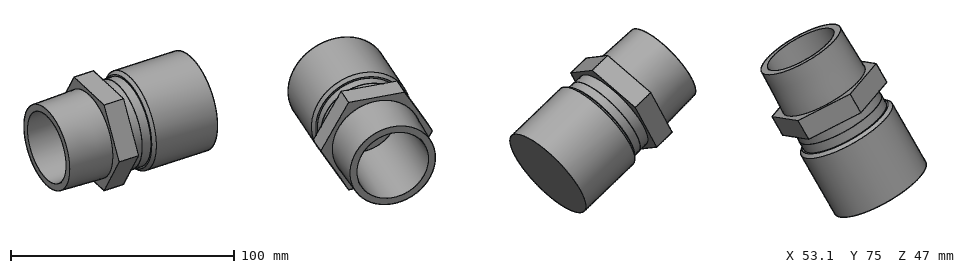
import cadquery as cq

total_length = 75.0
spigot_length = 22.0
hex_length = 10.1
collar_length = 5.0
neck_length = 4.5
socket_chamfer = 1.5

spigot_tip_diameter = 40.6
spigot_root_diameter = 42.0
hex_across_corners = 53.1
collar_diameter = 42.2
neck_diameter = 42.45
socket_diameter = 47.0
bore_diameter = 34.0

spigot_tip = -total_length / 2
hex_start = spigot_tip + spigot_length
hex_end = hex_start + hex_length
collar_end = hex_end + collar_length
neck_end = collar_end + neck_length
socket_end = total_length / 2

bore_depth = neck_end - spigot_tip


def plane_at(y):
    """Plane at station y, facing +Y, with its local x along +X."""
    return cq.Workplane(cq.Plane(origin=(0, y, 0), xDir=(1, 0, 0), normal=(0, 1, 0)))


def make_turned_body():
    """Tapered spigot, collar, neck and chamfered socket as one revolved solid."""
    socket_radius = socket_diameter / 2
    return (
        cq.Workplane("XY")
        .moveTo(0, spigot_tip)
        .lineTo(spigot_tip_diameter / 2, spigot_tip)
        .lineTo(spigot_root_diameter / 2, hex_start)
        .lineTo(collar_diameter / 2, hex_start)
        .lineTo(collar_diameter / 2, collar_end)
        .lineTo(neck_diameter / 2, collar_end)
        .lineTo(neck_diameter / 2, neck_end)
        .lineTo(socket_radius - socket_chamfer, neck_end)
        .lineTo(socket_radius, neck_end + socket_chamfer)
        .lineTo(socket_radius, socket_end)
        .lineTo(0, socket_end)
        .close()
        .revolve(360, (0, 0, 0), (0, 1, 0))
    )


def make_hexagon():
    """Wrench hexagon with two opposite corners on the X axis."""
    return plane_at(hex_start).polygon(6, hex_across_corners).extrude(hex_length)


def make_bore():
    """Blind bore entering from the spigot tip."""
    return plane_at(spigot_tip).circle(bore_diameter / 2).extrude(bore_depth)


result = make_turned_body().union(make_hexagon()).cut(make_bore())